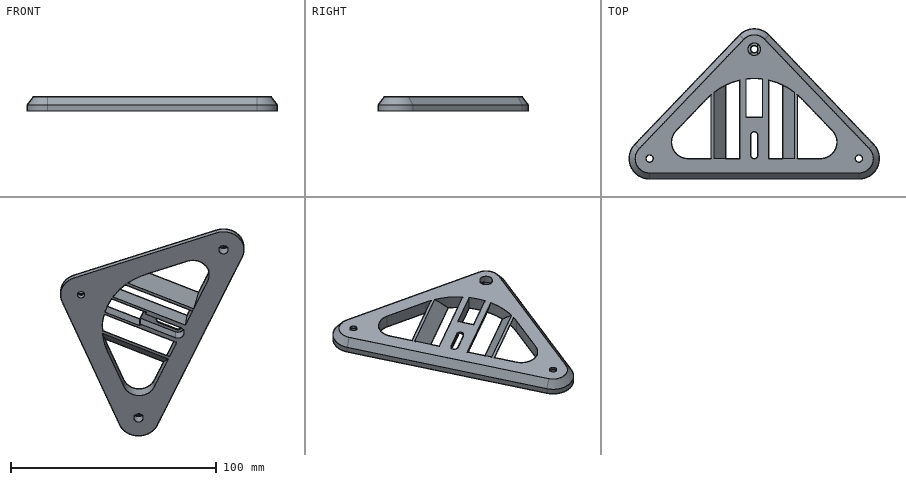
import cadquery as cq
import math

overall_width = 121.88
overall_depth = 73.22
thickness = 7.0
corner_radius = 10.0
bevel_height = 4.0
bevel_inset = 3.0
half_span = overall_width / 2 - corner_radius
apex_y = overall_depth - 2 * corner_radius

opening_corner_radius = 8.0
opening_corner_x = 32.2
opening_top_radius = 32.0
opening_center_y = opening_corner_radius

side_angle = math.atan2(apex_y, half_span)
side_meeting_y = opening_center_y + opening_corner_x * math.tan(side_angle)
radius_gain = opening_top_radius - opening_corner_radius
opening_top_center_y = side_meeting_y - radius_gain / math.cos(side_angle)

rib_half_width = 7.16
rib_undercut_angle = 15.0
window_width = 8.0
window_bottom_y = 20.2
slot_width = 3.4
slot_length = 13.0

slat_inner_x = 19.65
slat_width = 1.45
slat_angle = 40.0

screw_diameter = 3.4
counterbore_diameter = 6.1
counterbore_depth = 3.5
bridge_depth = 0.4

bore_diameter = 4.5
bore_roof_thickness = 1.5

channel_width = counterbore_diameter
channel_roof_thickness = 1.0


def hull_of_corners(corners):
    """Closed outline around circles (x, y, radius) listed counterclockwise."""
    sides = []
    for i, (x0, y0, r0) in enumerate(corners):
        x1, y1, r1 = corners[(i + 1) % len(corners)]
        spacing = math.hypot(x1 - x0, y1 - y0)
        normal = math.atan2(y1 - y0, x1 - x0) - math.acos((r0 - r1) / spacing)
        start = (x0 + r0 * math.cos(normal), y0 + r0 * math.sin(normal))
        end = (x1 + r1 * math.cos(normal), y1 + r1 * math.sin(normal))
        sides.append((normal, start, end))

    outline = cq.Workplane("XY").moveTo(*sides[0][1])
    for i, (normal, _, end) in enumerate(sides):
        next_normal, next_start, _ = sides[(i + 1) % len(sides)]
        x, y, r = corners[(i + 1) % len(corners)]
        turn = (next_normal - normal) % (2 * math.pi)
        middle = normal + turn / 2
        arc_middle = (x + r * math.cos(middle), y + r * math.sin(middle))
        outline = outline.lineTo(*end).threePointArc(arc_middle, next_start)
    return outline.close()


def make_plate():
    corners = [
        (-half_span, 0, corner_radius),
        (half_span, 0, corner_radius),
        (0, apex_y, corner_radius),
    ]
    plate = hull_of_corners(corners).extrude(thickness)
    return plate.faces(">Z").chamfer(bevel_height, bevel_inset)


def make_opening():
    corners = [
        (-opening_corner_x, opening_center_y, opening_corner_radius),
        (opening_corner_x, opening_center_y, opening_corner_radius),
        (0, opening_top_center_y, opening_top_radius),
    ]
    return hull_of_corners(corners).extrude(thickness)


def extrude_section(points):
    """Prism along Y, from the flat side of the opening past its top."""
    section = cq.Workplane("XZ").polyline(points).close()
    return section.extrude(-apex_y)


def make_rib():
    bottom_half_width = rib_half_width - thickness * math.tan(math.radians(rib_undercut_angle))
    return extrude_section([
        (-bottom_half_width, 0),
        (bottom_half_width, 0),
        (rib_half_width, thickness),
        (-rib_half_width, thickness),
    ])


def make_slat(side):
    lean = thickness * math.tan(math.radians(slat_angle))
    inner = slat_inner_x
    outer = slat_inner_x + slat_width
    return extrude_section([
        (side * (inner - lean), 0),
        (side * (outer - lean), 0),
        (side * outer, thickness),
        (side * inner, thickness),
    ])


def make_window(opening):
    """Rectangular window whose far end follows the top arc of the opening."""
    length = apex_y - window_bottom_y
    window = cq.Workplane("XY").center(0, window_bottom_y + length / 2)
    return window.rect(window_width, length).extrude(thickness).intersect(opening)


def make_slot():
    slot = cq.Workplane("XY").center(0, slot_length / 2)
    return slot.slot2D(slot_length, slot_width, 90).extrude(thickness)


def make_screw_holes():
    centers = [(-half_span, 0), (half_span, 0), (0, apex_y)]
    return cq.Workplane("XY").pushPoints(centers).circle(screw_diameter / 2).extrude(thickness)


def make_underside_bores():
    centers = [(-half_span, 0), (half_span, 0)]
    bores = cq.Workplane("XY").pushPoints(centers).circle(bore_diameter / 2)
    return bores.extrude(thickness - bore_roof_thickness)


def make_channel():
    """Channel with a round near end concentric with the near end of the slot."""
    depth = thickness - channel_roof_thickness
    near_end_y = slot_width / 2
    length = window_bottom_y - near_end_y
    round_end = cq.Workplane("XY").center(0, near_end_y).circle(channel_width / 2).extrude(depth)
    straight = cq.Workplane("XY").center(0, near_end_y + length / 2).rect(channel_width, length)
    return round_end.union(straight.extrude(depth))


def make_apex_counterbore():
    """Round recess with a shallow slot as wide as the screw hole in its floor."""
    floor_z = thickness - counterbore_depth
    radius = counterbore_diameter / 2
    recess = cq.Workplane("XY", origin=(0, apex_y, floor_z)).circle(radius).extrude(counterbore_depth)
    step_base = cq.Workplane("XY", origin=(0, apex_y, floor_z - bridge_depth))
    step = step_base.circle(radius).extrude(bridge_depth)
    band = step_base.rect(screw_diameter, counterbore_diameter).extrude(bridge_depth)
    return recess.union(step.intersect(band))


opening = make_opening()
bars = make_rib()
for side in (-1, 1):
    bars = bars.union(make_slat(side))

result = make_plate().cut(opening).union(bars.intersect(opening))
cutters = [
    make_window(opening),
    make_slot(),
    make_screw_holes(),
    make_underside_bores(),
    make_channel(),
    make_apex_counterbore(),
]
for cutter in cutters:
    result = result.cut(cutter)